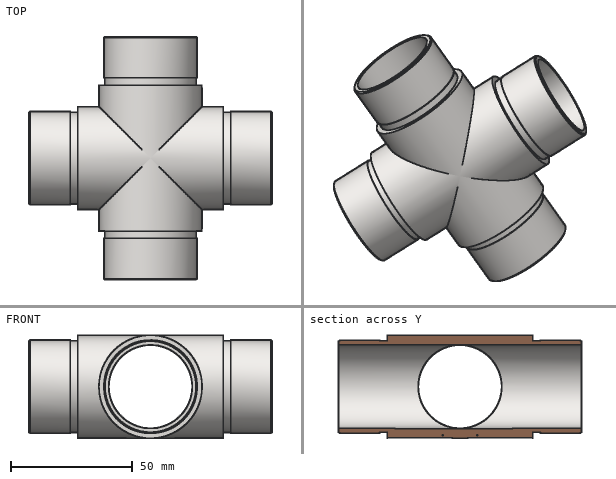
import cadquery as cq

overall_length = 100.0
body_length = 60.0
body_diameter = 42.4
spigot_diameter = 38.4
neck_diameter = 37.8
neck_length = 3.0
bore_diameter = 34.2
end_chamfer = 0.5


def cylinder_along_x(diameter, length):
    """Solid cylinder centred on the origin with its axis along X."""
    return cq.Workplane("YZ").circle(diameter / 2).extrude(length / 2, both=True)


def turned_to_y(shape):
    return shape.rotate((0, 0, 0), (0, 0, 1), 90)


def stepped_bar():
    """Outer form of one straight run: body, relief necks and chamfered spigots."""
    neck_end = body_length / 2 + neck_length
    spigot_length = overall_length / 2 - neck_end
    bar = cylinder_along_x(body_diameter, body_length)
    bar = bar.union(cylinder_along_x(neck_diameter, 2 * neck_end))
    spigot = (
        cq.Workplane("YZ", origin=(neck_end, 0, 0))
        .circle(spigot_diameter / 2)
        .extrude(spigot_length)
        .faces(">X")
        .chamfer(end_chamfer)
    )
    return bar.union(spigot).union(spigot.mirror("YZ"))


run = stepped_bar()
bore = cylinder_along_x(bore_diameter, overall_length)

result = run.union(turned_to_y(run)).cut(bore).cut(turned_to_y(bore))